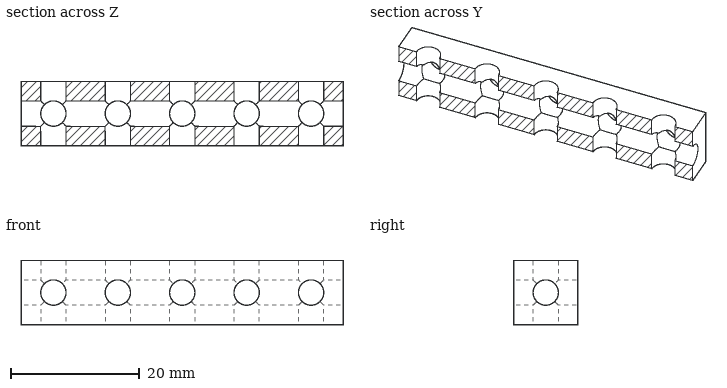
import cadquery as cq

pitch = 10.0
hole_count = 5
hole_diameter = 3.9

beam_length = hole_count * pitch


def square_beam():
    """Square bar along X, centred on the origin."""
    return cq.Workplane("XY").box(beam_length, pitch, pitch)


def cross_holes(plane):
    """Row of cylinders along X, running through the bar normal to the given plane."""
    return (
        cq.Workplane(plane)
        .rarray(pitch, pitch, hole_count, 1)
        .circle(hole_diameter / 2)
        .extrude(pitch, both=True)
    )


def lengthwise_hole():
    """Cylinder along the axis of the bar, running out of both ends."""
    return cq.Workplane("YZ").circle(hole_diameter / 2).extrude(beam_length, both=True)


result = square_beam().cut(lengthwise_hole())
for plane in ("XY", "XZ"):
    result = result.cut(cross_holes(plane))